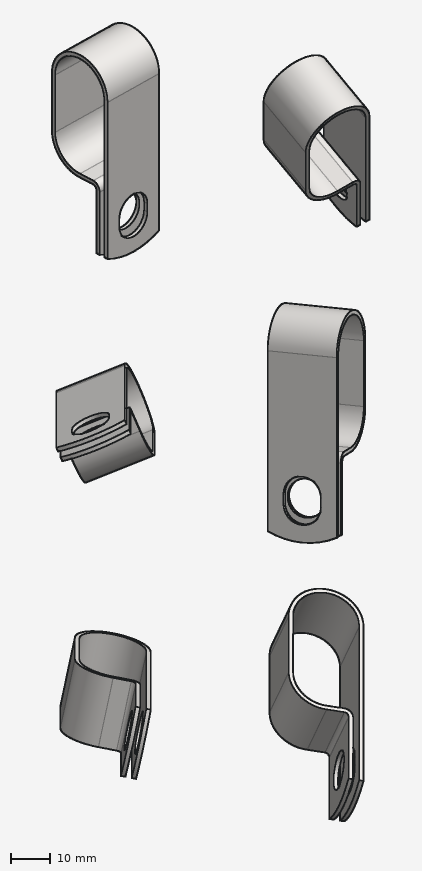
import cadquery as cq
import math

height = 59.95
loop_width = 19.9
strip_width = 19.05
thickness = 1.2

loop_straight = 17.45
leg_gap = 1.6
bend_inner_radius = 1.2

hole_diameter = 10.3
slot_length = 12.8
hole_height = 11.1
end_drop = 2.15

outer_radius = loop_width / 2
inner_radius = outer_radius - thickness
bend_outer_radius = bend_inner_radius + thickness
upper_center_z = height - outer_radius
lower_center_z = upper_center_z - loop_straight
shelf_bottom_z = lower_center_z - outer_radius
shelf_top_z = shelf_bottom_z + thickness
short_leg_outer_x = inner_radius - leg_gap
short_leg_inner_x = short_leg_outer_x - thickness
bend_center_x = short_leg_outer_x - bend_outer_radius
bend_center_z = shelf_top_z - bend_outer_radius
diagonal = math.sqrt(0.5)


def make_strip():
    """Bent strip, extruded symmetrically about the XZ plane."""
    return (
        cq.Workplane("XZ")
        .moveTo(outer_radius, 0)
        .lineTo(outer_radius, upper_center_z)
        .threePointArc((0, height), (-outer_radius, upper_center_z))
        .lineTo(-outer_radius, lower_center_z)
        .threePointArc(
            (-outer_radius * diagonal, lower_center_z - outer_radius * diagonal),
            (0, shelf_bottom_z),
        )
        .lineTo(bend_center_x, shelf_bottom_z)
        .threePointArc(
            (
                bend_center_x + bend_inner_radius * diagonal,
                bend_center_z + bend_inner_radius * diagonal,
            ),
            (short_leg_inner_x, bend_center_z),
        )
        .lineTo(short_leg_inner_x, 0)
        .lineTo(short_leg_outer_x, 0)
        .lineTo(short_leg_outer_x, bend_center_z)
        .threePointArc(
            (
                bend_center_x + bend_outer_radius * diagonal,
                bend_center_z + bend_outer_radius * diagonal,
            ),
            (bend_center_x, shelf_top_z),
        )
        .lineTo(0, shelf_top_z)
        .threePointArc(
            (-inner_radius * diagonal, lower_center_z - inner_radius * diagonal),
            (-inner_radius, lower_center_z),
        )
        .lineTo(-inner_radius, upper_center_z)
        .threePointArc((0, upper_center_z + inner_radius), (inner_radius, upper_center_z))
        .lineTo(inner_radius, 0)
        .close()
        .extrude(strip_width / 2, both=True)
    )


def make_end_envelope():
    """Block around the whole part whose underside is the arc of the leg ends."""
    half_width = strip_width / 2
    return (
        cq.Workplane("YZ")
        .moveTo(-half_width, end_drop)
        .threePointArc((0, 0), (half_width, end_drop))
        .lineTo(half_width, height)
        .lineTo(-half_width, height)
        .close()
        .extrude(outer_radius, both=True)
    )


def make_round_hole():
    """Cylinder through the short leg."""
    return (
        cq.Workplane("YZ", origin=(short_leg_inner_x, 0, hole_height))
        .circle(hole_diameter / 2)
        .extrude(thickness)
    )


def make_slot():
    """Vertical slot through the long leg, concentric with the round hole."""
    return (
        cq.Workplane("YZ", origin=(inner_radius, 0, hole_height))
        .slot2D(slot_length, hole_diameter, angle=90)
        .extrude(thickness)
    )


strip = make_strip().intersect(make_end_envelope())
result = strip.cut(make_round_hole()).cut(make_slot())